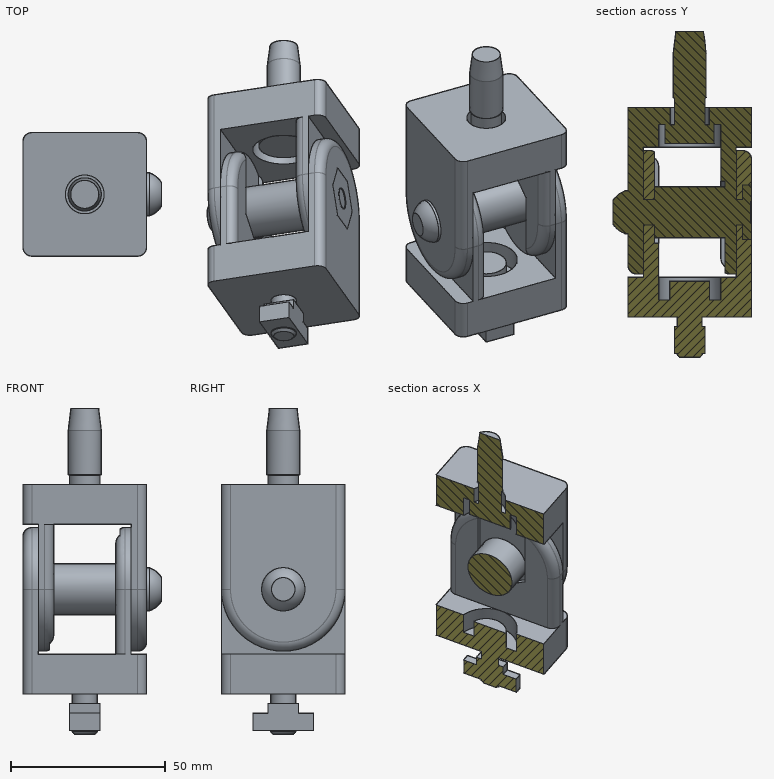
import cadquery as cq
import math

width = 40.0
corner_radius = 3.0
arm_joint_x = 15.0
arm_inner_x = 10.0
plate_outer_z = 33.9
plate_inner_z = 21.0

counterbore_diameter = 20.0
counterbore_depth = 7.4
screw_head_height = 6.1
neck_end_z = 36.9

upper_hole_diameter = 12.5
upper_head_diameter = 16.0
upper_neck_diameter = 10.0
sleeve_diameter = 10.8
sleeve_chamfer = 0.2
sleeve_taper_z = 51.4
sleeve_top_z = 58.5
sleeve_top_diameter = 9.1

lower_head_diameter = 13.0
lower_neck_diameter = 8.2
foot_thickness = 10.0
foot_length = 19.6
foot_step_z = 40.0
foot_bottom_z = 45.7
stem_bevel_z = 46.1
stem_tip_z = 46.9
stem_tip_diameter = 6.5

pivot_diameter = 8.0
spacer_diameter = 16.5
hex_across_corners = 20.0
nut_thickness = 3.0
nut_bore_diameter = 6.9
nut_bore_depth = 0.3
spacer_pocket_depth = 1.4
button_diameter = 14.0
button_rim = 0.8
button_height = 4.8
button_flat_diameter = 7.6

half_width = width / 2
counterbore_floor_z = plate_inner_z + counterbore_depth
screw_head_z = counterbore_floor_z - screw_head_height
hex_across_flats = hex_across_corners * math.cos(math.radians(30))
spacer_end_x = arm_inner_x + spacer_pocket_depth
nut_inner_x = -half_width + nut_thickness


def x_cylinder(diameter, x_start, x_end):
    """Cylinder on the pivot axis between two X positions."""
    return cq.Workplane("YZ", origin=(x_start, 0, 0)).circle(diameter / 2).extrude(x_end - x_start)


def z_cylinder(diameter, z_start, z_end):
    """Cylinder on the stem axis between two Z positions."""
    return cq.Workplane("XY", origin=(0, 0, z_start)).circle(diameter / 2).extrude(z_end - z_start)


def hex_prism(x_start, x_end, turn=0):
    """Hexagonal prism on the pivot axis; with no turn its corners point along Y."""
    base = cq.Workplane("YZ", origin=(x_start, 0, 0)).polygon(6, hex_across_corners)
    prism = base.extrude(x_end - x_start)
    return prism.rotate((0, 0, 0), (1, 0, 0), turn)


def arm(x_start, x_end, foot_z):
    """Round-ended arm rising from foot_z, with the rim of its -X face rounded."""
    slab = (
        cq.Workplane("YZ", origin=(x_start, 0, 0))
        .moveTo(-half_width, foot_z)
        .lineTo(-half_width, 0)
        .threePointArc((0, half_width), (half_width, 0))
        .lineTo(half_width, foot_z)
        .close()
        .extrude(x_end - x_start)
    )
    rim_edges = slab.faces("<X").edges("not <Z")
    return rim_edges.fillet(corner_radius)


def spacer_pocket():
    """Slot in the free face of the inner arm: half a hexagon below the pivot, open at the arm tip."""
    slot_start = cq.Workplane("XY", origin=(arm_inner_x, 0, 0))
    slot = slot_start.box(spacer_pocket_depth, hex_across_flats, half_width, centered=(False, True, False))
    return slot.union(hex_prism(arm_inner_x, spacer_end_x, turn=30))


def fork():
    """Fork with its plate below the pivot, its outer arm at -X and its inner arm at +X."""
    plate_thickness = plate_outer_z - plate_inner_z
    plate = (
        cq.Workplane("XY", origin=(0, 0, -plate_outer_z))
        .rect(width, width)
        .extrude(plate_thickness)
        .edges("|Z")
        .fillet(corner_radius)
    )
    body = plate.union(arm(-half_width, -arm_joint_x, -plate_outer_z))
    body = body.union(arm(arm_inner_x, arm_joint_x, -plate_inner_z))
    counterbore = z_cylinder(counterbore_diameter, -counterbore_floor_z, -plate_inner_z)
    return body.cut(counterbore).cut(spacer_pocket())


def pivot():
    """Spacer, screw, button head and nut, joined along the pivot axis."""
    nut = hex_prism(-half_width, nut_inner_x)
    nut_bore = x_cylinder(nut_bore_diameter, -half_width, -half_width + nut_bore_depth)
    shank = x_cylinder(pivot_diameter, nut_inner_x, half_width)
    spacer = x_cylinder(spacer_diameter, -spacer_end_x, spacer_end_x)
    return nut.cut(nut_bore).union(shank).union(spacer).union(button_head())


def button_head():
    """Domed screw head with a short cylindrical rim and a flat end."""
    rim_radius = button_diameter / 2
    flat_radius = button_flat_diameter / 2
    dome_height = button_height - button_rim
    centre_to_rim = (rim_radius**2 - flat_radius**2 - dome_height**2) / (2 * dome_height)
    dome_radius = math.hypot(centre_to_rim, rim_radius)
    rim_x = half_width + button_rim
    mid_x = rim_x + dome_height / 2
    mid_radius = math.sqrt(dome_radius**2 - (centre_to_rim + dome_height / 2) ** 2)
    return (
        cq.Workplane("XY")
        .moveTo(half_width, 0)
        .lineTo(half_width, rim_radius)
        .lineTo(rim_x, rim_radius)
        .threePointArc((mid_x, mid_radius), (half_width + button_height, flat_radius))
        .lineTo(half_width + button_height, 0)
        .close()
        .revolve(360, (0, 0, 0), (1, 0, 0))
    )


def upper_stem():
    """Headed screw whose neck carries a sleeve with a tapered top."""
    head = z_cylinder(upper_head_diameter, screw_head_z, counterbore_floor_z)
    neck_radius = upper_neck_diameter / 2
    sleeve_radius = sleeve_diameter / 2
    shaft = (
        cq.Workplane("XZ")
        .moveTo(0, counterbore_floor_z)
        .lineTo(neck_radius, counterbore_floor_z)
        .lineTo(neck_radius, neck_end_z)
        .lineTo(sleeve_radius, neck_end_z + sleeve_chamfer)
        .lineTo(sleeve_radius, sleeve_taper_z)
        .lineTo(sleeve_top_diameter / 2, sleeve_top_z)
        .lineTo(0, sleeve_top_z)
        .close()
        .revolve(360, (0, 0, 0), (0, 1, 0))
    )
    return head.union(shaft)


def lower_stem():
    """Headed screw that passes through a T-shaped foot and ends in a chamfered tip."""
    head = z_cylinder(lower_head_diameter, -counterbore_floor_z, -screw_head_z)
    neck = z_cylinder(lower_neck_diameter, -stem_bevel_z, -counterbore_floor_z)
    tip = (
        cq.Workplane("XY", origin=(0, 0, -stem_bevel_z))
        .circle(lower_neck_diameter / 2)
        .workplane(offset=stem_bevel_z - stem_tip_z)
        .circle(stem_tip_diameter / 2)
        .loft()
    )
    return head.union(neck).union(tip).union(foot())


def foot():
    """T-shaped foot: a square upper part on a longer lower bar."""
    upper_part = (
        cq.Workplane("XY", origin=(0, 0, -foot_step_z))
        .rect(foot_thickness, foot_thickness)
        .extrude(foot_step_z - neck_end_z)
    )
    bar = (
        cq.Workplane("XY", origin=(0, 0, -foot_bottom_z))
        .rect(foot_thickness, foot_length)
        .extrude(foot_bottom_z - foot_step_z)
    )
    return upper_part.union(bar)


def lower_fork():
    """Fork with the lower stem, a pivot hole in both arms and a nut pocket in the outer arm."""
    pivot_hole = x_cylinder(pivot_diameter, -half_width, half_width)
    nut_pocket = hex_prism(-half_width, nut_inner_x)
    return fork().cut(pivot_hole).cut(nut_pocket).union(lower_stem())


def upper_fork():
    """Fork turned over about Y, joined to the upper stem and to the pivot."""
    turned_fork = fork().rotate((0, 0, 0), (0, 1, 0), 180)
    stem_hole = z_cylinder(upper_hole_diameter, counterbore_floor_z, plate_outer_z)
    return turned_fork.cut(stem_hole).union(upper_stem()).union(pivot())


lower_body = lower_fork()
upper_body = upper_fork()
result = cq.Compound.makeCompound([lower_body.val(), upper_body.val()])